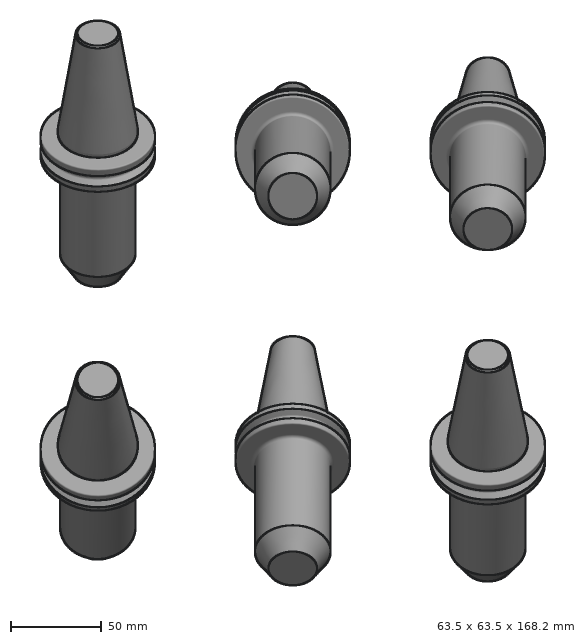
import cadquery as cq
import math

taper_length = 68.25
gauge_diameter = 44.45
taper_per_length = 7 / 24
taper_tip_chamfer = 1.0

neck_length = 3.175
neck_undercut_depth = 0.3
neck_root_fillet = 0.8

flange_diameter = 63.5
flange_thickness = 15.875
flange_edge_fillet = 0.8

groove_diameter = 56.0
groove_center_depth = 11.175
groove_mouth_width = 7.3
groove_flank_angle = 30.0
groove_corner_radius = 1.0

body_diameter = 42.0
body_root_fillet = 2.0
projection = 100.0
nose_length = 13.0
nose_half_angle = 30.0

taper_tip_radius = (gauge_diameter - taper_length * taper_per_length) / 2
flange_top = -neck_length
flange_bottom = flange_top - flange_thickness
groove_center = -groove_center_depth
neck_undercut_diameter = gauge_diameter - 2 * neck_undercut_depth
neck_undercut_start = flange_top + neck_root_fillet + neck_undercut_depth
nose_start = nose_length - projection
nose_tip_radius = body_diameter / 2 - nose_length * math.tan(math.radians(nose_half_angle))


def cone(bottom_radius, top_radius, bottom_z, top_z):
    """Truncated cone about the Z axis."""
    outline = [(0, bottom_z), (bottom_radius, bottom_z), (top_radius, top_z), (0, top_z)]
    return cq.Workplane("XZ").polyline(outline).close().revolve(360, (0, 0, 0), (0, 1, 0))


def cylinder(diameter, bottom_z, top_z):
    """Solid cylinder about the Z axis."""
    return cq.Workplane("XY").workplane(offset=bottom_z).circle(diameter / 2).extrude(top_z - bottom_z)


def spindle_taper():
    """Steep taper with a chamfered tip, on a short neck with a shallow 45-degree undercut."""
    taper = cone(gauge_diameter / 2, taper_tip_radius, 0, taper_length)
    taper = taper.faces(">Z").edges().chamfer(taper_tip_chamfer)
    neck = cylinder(gauge_diameter, neck_undercut_start, 0)
    neck_step = cone(
        neck_undercut_diameter / 2,
        gauge_diameter / 2,
        neck_undercut_start - neck_undercut_depth,
        neck_undercut_start,
    )
    return taper.union(neck).union(neck_step)


def gripper_groove():
    """Ring that cuts the V-shaped gripper groove, with rounded floor corners."""
    floor_radius = groove_diameter / 2
    mouth_radius = flange_diameter / 2
    mouth_half = groove_mouth_width / 2
    flank_height = (mouth_radius - floor_radius) * math.tan(math.radians(groove_flank_angle))
    floor_half = mouth_half - flank_height
    outline = [
        (mouth_radius, mouth_half),
        (floor_radius, floor_half),
        (floor_radius, -floor_half),
        (mouth_radius, -mouth_half),
    ]
    ring = (
        cq.Workplane("XZ")
        .center(0, groove_center)
        .polyline(outline)
        .close()
        .revolve(360, (0, 0, 0), (0, 1, 0))
    )
    return ring.edges(cq.selectors.RadiusNthSelector(0)).fillet(groove_corner_radius)


def flange():
    """Tool flange with rounded rims and the gripper groove."""
    disc = cylinder(flange_diameter, flange_bottom, flange_top)
    disc = disc.faces("<Z or >Z").edges().fillet(flange_edge_fillet)
    return disc.cut(gripper_groove())


def body():
    """Cylindrical holder body with a conical nose."""
    shank = cylinder(body_diameter, nose_start, flange_bottom)
    return shank.union(cone(nose_tip_radius, body_diameter / 2, -projection, nose_start))


def root_fillet(diameter, radius, flange_face, direction):
    """Concave fillet ring at a flange face; direction is +1 above the face and -1 below it."""
    inner = diameter / 2
    outer = inner + radius
    end = flange_face + direction * radius
    fillet_mid = radius * (1 - math.sqrt(0.5))
    return (
        cq.Workplane("XZ")
        .moveTo(0, flange_face)
        .lineTo(outer, flange_face)
        .threePointArc((inner + fillet_mid, flange_face + direction * fillet_mid), (inner, end))
        .lineTo(0, end)
        .close()
        .revolve(360, (0, 0, 0), (0, 1, 0))
    )


neck_root = root_fillet(neck_undercut_diameter, neck_root_fillet, flange_top, 1)
body_root = root_fillet(body_diameter, body_root_fillet, flange_bottom, -1)
result = spindle_taper().union(flange()).union(body()).union(neck_root).union(body_root)